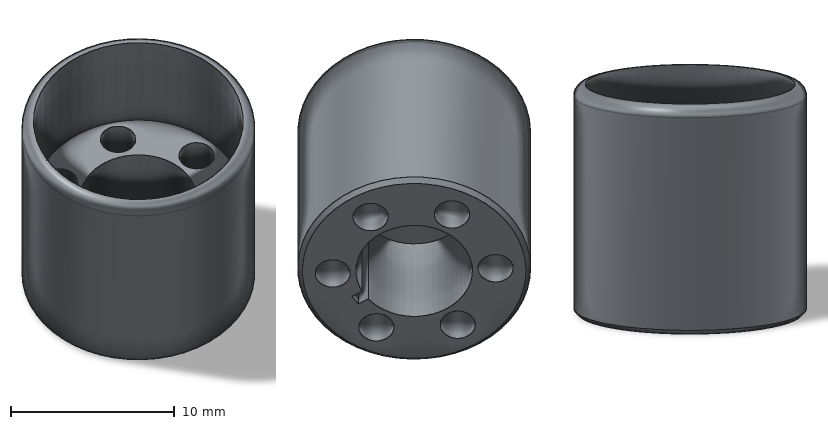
import cadquery as cq

outer_diameter = 14.21
height = 14.21
wall = 0.71
cup_depth = 7.1
bottom_chamfer = 0.28

bore_diameter = 7.1
key_width = 0.71
key_depth = 0.71
hole_count = 6
hole_diameter = 2.13
hole_circle_radius = 4.97
first_hole_angle = 30.0

outer_radius = outer_diameter / 2
cup_radius = outer_radius - wall
floor_top = height - cup_depth


def cup_body():
    """Revolved cup; the rounded rim takes up the whole wall thickness."""
    rim_start = height - wall
    rim_mid = wall * 0.5 ** 0.5
    return (
        cq.Workplane("XZ")
        .lineTo(outer_radius - bottom_chamfer, 0)
        .lineTo(outer_radius, bottom_chamfer)
        .lineTo(outer_radius, rim_start)
        .threePointArc((cup_radius + rim_mid, rim_start + rim_mid), (cup_radius, height))
        .lineTo(cup_radius, floor_top)
        .lineTo(0, floor_top)
        .close()
        .revolve(360, (0, 0, 0), (0, 1, 0))
    )


def keyed_bore():
    """Central bore with a keyway on its +X side."""
    bore = cq.Workplane("XY").circle(bore_diameter / 2).extrude(floor_top)
    key_reach = bore_diameter / 2 + key_depth
    key = cq.Workplane("XY").rect(key_reach, key_width).extrude(floor_top)
    return bore.union(key.translate((key_reach / 2, 0, 0)))


def hole_ring():
    """Round holes evenly spaced around the bore."""
    return (
        cq.Workplane("XY")
        .polarArray(hole_circle_radius, first_hole_angle, 360, hole_count)
        .circle(hole_diameter / 2)
        .extrude(floor_top)
    )


result = cup_body().cut(keyed_bore()).cut(hole_ring())